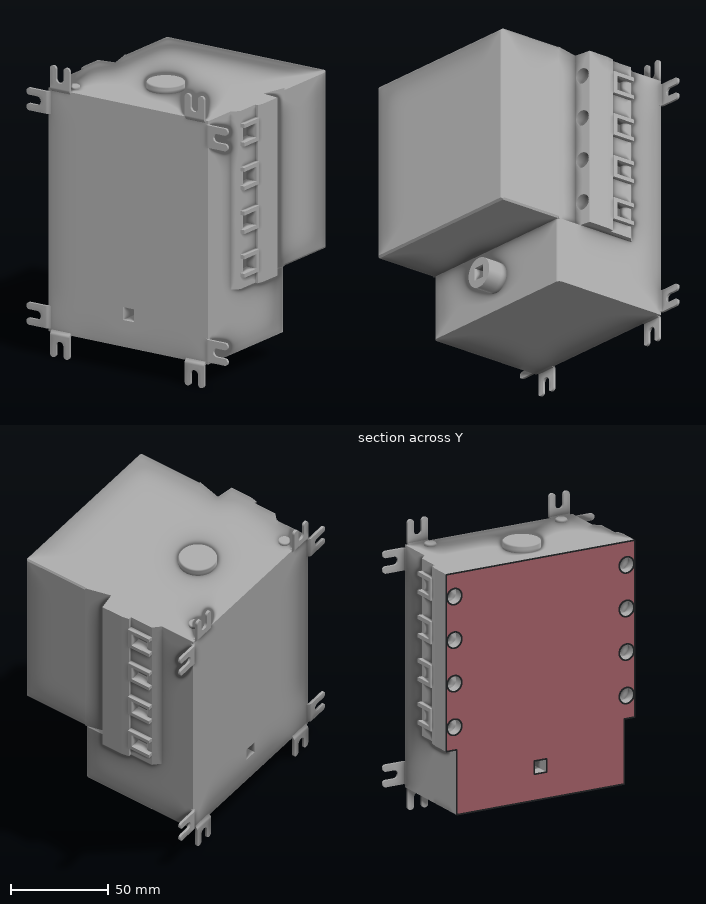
import cadquery as cq

overall_width = 126
body_width = 100.0
body_height = 131.5
body_depth = 107.1
half_width = body_width / 2
base_depth = 69.0
base_edge_radius = 2.4
cover_bottom = 35.3
cover_height = body_height - cover_bottom
cover_corner_radius = 1.7
cover_edge_side = 0.6
cover_edge_front = 1.1
cover_edge_height = 1.1

wing_half_width = 56.2
wing_rear = 20.0
wing_front = 53.4
strip_half_width = 53.7
strip_rear = 23.6
strip_front = 37.0
strip_step_half_width = 55.5
wing_flat_start = 41.3
groove_half_width = 46.5
groove_y = 55.0
groove_front = base_depth

terminal_count = 4
terminal_pitch = 23.6
first_terminal_z = 47.9
terminal_height = 12.1
window_height = 7.9
window_front = 34.7
lip_front = 25.5
lip_radius = 2.4
terminal_screw_diameter = 8.5
terminal_screw_depth = 7.9

shaft_z = 18.0
boss_diameter = 16.5
boss_length = 11.7
shaft_square = 7.0
button_diameter = 20.0
button_y = 33.7
button_height = 4.3
button_edge_radius = 1.1
pin_diameter = 6.3
pin_x = 39.0
pin_y = 7.1
pin_height = 1.7
pin_edge_radius = 1.0

tab_length = (overall_width - body_width) / 2
tab_width = 12.1
tab_thickness = 1.4
tab_corner_gap = 1.7
tab_bend_rear = 1.1
tab_bend_front = 0.55
tab_bend_drop = 1.02
tab_overlap = 1.3
tab_tip_radius = 1.7
tab_slot_width = 4.7
tab_slot_depth = 9.0


def box(x_range, y_range, z_range):
    """Box between two limits along each axis."""
    limits = (x_range, y_range, z_range)
    sizes = [high - low for low, high in limits]
    corner = tuple(low for low, high in limits)
    return cq.Workplane("XY").box(*sizes, centered=False).translate(corner)


def make_base():
    """Lower part with its upright front edges rounded."""
    base = box((-half_width, half_width), (0, base_depth), (0, cover_bottom))
    return base.edges("|Z and >Y").fillet(base_edge_radius)


def make_cover_bevel(z_rim, z_inner):
    """Material removed at one rim of the cover, on its front and both sides."""
    front = (
        cq.Workplane("YZ")
        .polyline([
            (body_depth - cover_edge_front, z_rim),
            (body_depth, z_rim),
            (body_depth, z_inner),
        ])
        .close()
        .extrude(half_width, both=True)
    )
    side = (
        cq.Workplane("XZ", origin=(0, groove_front, 0))
        .polyline([
            (half_width - cover_edge_side, z_rim),
            (half_width, z_rim),
            (half_width, z_inner),
        ])
        .close()
        .extrude(groove_front - body_depth)
    )
    return front.union(side).union(side.mirror("YZ"))


def make_cover():
    """Deep upper part with rounded front corners and bevelled top and bottom rims."""
    cover = (
        box((-half_width, half_width), (0, body_depth), (cover_bottom, body_height))
        .edges("|Z and >Y").fillet(cover_corner_radius)
    )
    for z_rim, inward in ((body_height, -1), (cover_bottom, 1)):
        cover = cover.cut(make_cover_bevel(z_rim, z_rim + inward * cover_edge_height))
    return cover


def make_wing():
    """Wing on the +X side."""
    outline = [
        (0, wing_rear),
        (half_width, wing_rear),
        (strip_half_width, strip_rear),
        (strip_half_width, strip_front),
        (strip_step_half_width, strip_front),
        (wing_half_width, wing_flat_start),
        (wing_half_width, wing_front),
        (groove_half_width, groove_y),
        (0, groove_y),
    ]
    return (
        cq.Workplane("XY", origin=(0, 0, cover_bottom))
        .polyline(outline).close().extrude(cover_height)
    )


def make_groove():
    """Wedge in front of the +X wing, where the cover narrows towards the wing."""
    return (
        cq.Workplane("XY", origin=(0, 0, cover_bottom))
        .polyline([
            (half_width, groove_front),
            (groove_half_width, groove_y),
            (wing_half_width, wing_front),
            (wing_half_width, groove_front),
        ])
        .close()
        .extrude(cover_height)
    )


def make_terminal_block(z):
    """Block raised from the recessed strip to the outer face of the +X wing."""
    return box(
        (half_width, wing_half_width),
        (strip_rear, strip_front),
        (z - terminal_height / 2, z + terminal_height / 2),
    )


def make_terminal_window(z):
    """Pocket of a terminal: a low lip at the rear, rounded down to the pocket floor."""
    return (
        cq.Workplane("XY", origin=(0, 0, z - window_height / 2))
        .moveTo(wing_half_width, strip_rear)
        .lineTo(strip_half_width, strip_rear)
        .lineTo(strip_half_width, lip_front)
        .radiusArc((strip_half_width - lip_radius, lip_front + lip_radius), -lip_radius)
        .lineTo(half_width, lip_front + lip_radius)
        .lineTo(half_width, window_front)
        .lineTo(wing_half_width, window_front)
        .close()
        .extrude(window_height)
    )


def make_terminal_screw_hole(z):
    """Blind hole in the front face of the wing."""
    x = (groove_half_width + wing_half_width) / 2
    return (
        cq.Workplane("XZ", origin=(x, groove_y, z))
        .circle(terminal_screw_diameter / 2)
        .extrude(terminal_screw_depth)
    )


def make_tab():
    """Tab pointing along +X from the edge x = 0, centred on z = 0."""
    sheet = (
        cq.Workplane("XY", origin=(0, 0, -tab_width / 2))
        .moveTo(-tab_overlap, 0)
        .lineTo(0, -tab_bend_drop)
        .tangentArcPoint((tab_bend_rear, -tab_thickness), relative=False)
        .lineTo(tab_length, -tab_thickness)
        .lineTo(tab_length, 0)
        .lineTo(tab_bend_front, 0)
        .lineTo(0, tab_thickness)
        .lineTo(-tab_overlap, tab_thickness)
        .close()
        .extrude(tab_width)
    )
    slot_radius = tab_slot_width / 2
    slot_end = tab_length - tab_slot_depth
    slot = (
        cq.Workplane("XZ", origin=(0, -tab_thickness, 0))
        .moveTo(tab_length, -slot_radius)
        .lineTo(slot_end + slot_radius, -slot_radius)
        .threePointArc((slot_end, 0), (slot_end + slot_radius, slot_radius))
        .lineTo(tab_length, slot_radius)
        .close()
        .extrude(-tab_thickness)
    )
    return sheet.cut(slot).edges("|Y and >X").fillet(tab_tip_radius)


wing = make_wing()
groove = make_groove()
terminal_cuts = []
for index in range(terminal_count):
    terminal_z = first_terminal_z + index * terminal_pitch
    wing = wing.union(make_terminal_block(terminal_z))
    terminal_cuts.append(make_terminal_window(terminal_z))
    terminal_cuts.append(make_terminal_screw_hole(terminal_z))

result = (
    make_cover()
    .cut(groove).cut(groove.mirror("YZ"))
    .union(wing).union(wing.mirror("YZ"))
    .union(make_base())
)
for cut in terminal_cuts:
    result = result.cut(cut).cut(cut.mirror("YZ"))

boss = (
    cq.Workplane("XZ", origin=(0, base_depth, shaft_z))
    .circle(boss_diameter / 2).extrude(-boss_length)
)
shaft_hole = (
    cq.Workplane("XZ", origin=(0, 0, shaft_z))
    .rect(shaft_square, shaft_square).extrude(-(base_depth + boss_length))
)
result = result.union(boss).cut(shaft_hole)

button = (
    cq.Workplane("XY", origin=(0, button_y, body_height))
    .circle(button_diameter / 2).extrude(button_height)
    .faces(">Z").edges().fillet(button_edge_radius)
)
pins = (
    cq.Workplane("XY", origin=(0, pin_y, body_height))
    .pushPoints([(-pin_x, 0), (pin_x, 0)])
    .circle(pin_diameter / 2).extrude(pin_height)
    .faces(">Z").edges().fillet(pin_edge_radius)
)
result = result.union(button).union(pins)

tab = make_tab()
tab_inset = tab_corner_gap + tab_width / 2
side_tab_low = tab.translate((half_width, 0, tab_inset))
side_tab_high = tab.translate((half_width, 0, body_height - tab_inset))
upright_x = half_width - tab_inset
top_tab = tab.rotate((0, 0, 0), (0, 1, 0), -90).translate((upright_x, 0, body_height))
bottom_tab = tab.rotate((0, 0, 0), (0, 1, 0), 90).translate((upright_x, 0, 0))
for right_tab in (side_tab_low, side_tab_high, top_tab, bottom_tab):
    result = result.union(right_tab).union(right_tab.mirror("YZ"))